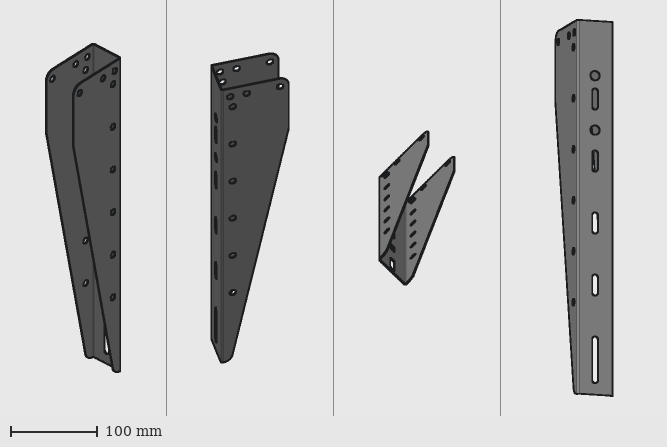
import cadquery as cq

width = 44.0
depth = 81.5
height = 440.0
thickness = 1.5
bend_outer_radius = 2.5
bend_inner_radius = bend_outer_radius - thickness

front_edge_length = 83.0
bottom_depth = 12.0
top_corner_radius = 12.0
bottom_corner_radius = 12.0

flange_hole_diameter = 8.0
top_row_drop = 13.0
top_row_offsets = (11.0, 31.0, 71.0)
column_offset = 14.0
column_first_drop = 30.0
column_pitch = 60.0
column_count = 6

web_hole_diameter = 11.0
web_hole_first_drop = 64.5
web_hole_pitch = 64.0
web_hole_count = 2
slot_width = 7.0
slot_first_drop = 79.5
slot_pitch = 73.0
slot_lengths = (25.0, 25.0, 25.0, 25.0, 55.0)

back_y = depth / 2
top_z = height / 2


def make_channel():
    """Bent U profile, open toward -Y, running the full height."""
    outer = (
        cq.Workplane("XY")
        .box(width, depth, height)
        .edges("|Z and >Y")
        .fillet(bend_outer_radius)
    )
    inner = (
        cq.Workplane("XY")
        .box(width - 2 * thickness, depth, height)
        .translate((0, -thickness, 0))
        .edges("|Z and >Y")
        .fillet(bend_inner_radius)
    )
    return outer.cut(inner)


def make_flange_envelope():
    """Tapered side outline with rounded front corners, extruded across the width."""
    front_y = back_y - depth
    outline = [
        (back_y, top_z),
        (front_y, top_z),
        (front_y, top_z - front_edge_length),
        (back_y - bottom_depth, -top_z),
        (back_y, -top_z),
    ]
    envelope = cq.Workplane("YZ").polyline(outline).close().extrude(width / 2, both=True)
    envelope = envelope.edges("|X and >Z and <Y").fillet(top_corner_radius)
    bottom_corner = cq.selectors.NearestToPointSelector((0, back_y - bottom_depth, -top_z))
    return envelope.edges("|X").edges(bottom_corner).fillet(bottom_corner_radius)


def make_flange_holes():
    """Round holes through both flanges: a row along the top and a column near the web."""
    centers = [(back_y - offset, top_z - top_row_drop) for offset in top_row_offsets]
    for index in range(column_count):
        drop = column_first_drop + index * column_pitch
        centers.append((back_y - column_offset, top_z - drop))
    return (
        cq.Workplane("YZ")
        .pushPoints(centers)
        .circle(flange_hole_diameter / 2)
        .extrude(width, both=True)
    )


def make_web_holes():
    """Round holes on the centreline of the web."""
    drops = [web_hole_first_drop + index * web_hole_pitch for index in range(web_hole_count)]
    centers = [(0, top_z - drop) for drop in drops]
    return (
        cq.Workplane("XZ")
        .pushPoints(centers)
        .circle(web_hole_diameter / 2)
        .extrude(depth, both=True)
    )


def make_web_slots():
    """Vertical round-ended slots on the centreline of the web."""
    slots = cq.Workplane("XZ")
    for index, length in enumerate(slot_lengths):
        center_z = top_z - slot_first_drop - index * slot_pitch - length / 2
        slot = (
            cq.Workplane("XZ")
            .center(0, center_z)
            .slot2D(length, slot_width, 90)
            .extrude(depth, both=True)
        )
        slots = slots.add(slot)
    return slots.combine()


result = (
    make_channel()
    .intersect(make_flange_envelope())
    .cut(make_flange_holes())
    .cut(make_web_holes())
    .cut(make_web_slots())
)